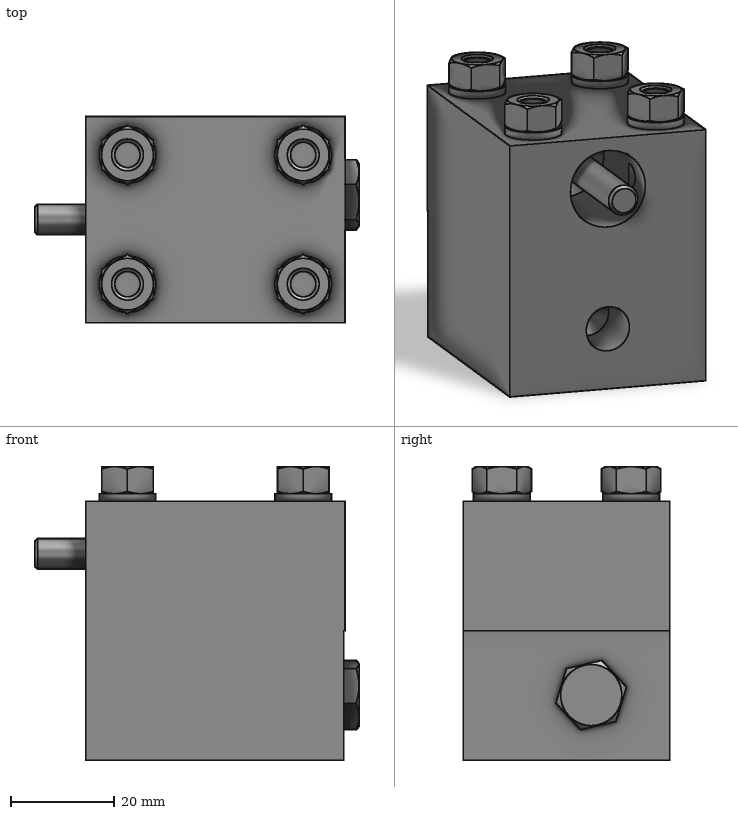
import cadquery as cq
import math

block_length = 50.2
block_width = 40.0
half_height = 25.1
block_height = 2 * half_height
lower_setback = 0.25

stud_spacing_x = 34.0
stud_spacing_y = 25.0
stud_diameter = 10.5
washer_diameter = 11.0
washer_height = 1.45
nut_across_flats = 10.0
nut_height = 5.2
countersink_diameter = 6.15
countersink_depth = 0.3
thread_core_diameter = 4.9
stud_end_recess = 0.2

bore_height = 40.0
bore_diameter = 15.3
bore_depth = 25.15
pin_diameter = 6.0
pin_reach = 9.85
pin_chamfer = 0.55

port_height = 12.0
port_diameter = 8.8
port_depth = 12.6

drill_point_angle = 118.0

plug_across_flats = 12.1
plug_reach = 2.75
plug_y = 4.8
plug_height = 12.65
plug_rotation = 13.0
plug_face_diameter = 11.8

hex_chamfer_angle = 30.0


def drill_point_length(diameter):
    """Length of the conical floor left by a drill."""
    return diameter / 2 / math.tan(math.radians(drill_point_angle / 2))


def chamfer_envelope(face_diameter, height, both_ends):
    """Turned solid, with conical ends, that rounds off the corners of a hexagon prism."""
    spread = face_diameter / 4
    drop = spread * math.tan(math.radians(hex_chamfer_angle))
    face_radius = face_diameter / 2
    outer_radius = face_radius + spread
    profile = cq.Workplane("XZ").moveTo(0, 0)
    if both_ends:
        profile = profile.lineTo(face_radius, 0).lineTo(outer_radius, drop)
    else:
        profile = profile.lineTo(outer_radius, 0)
    profile = profile.lineTo(outer_radius, height - drop).lineTo(face_radius, height).lineTo(0, height)
    return profile.close().revolve(360, (0, 0, 0), (0, 1, 0))


def hexagon(across_flats, height, face_diameter, both_ends):
    """Hexagon prism along Z with a corner on the Y axis and chamfered corners."""
    across_corners = across_flats / math.cos(math.radians(30))
    prism = cq.Workplane("XY").polygon(6, across_corners).extrude(height)
    prism = prism.rotate((0, 0, 0), (0, 0, 1), 90)
    return prism.intersect(chamfer_envelope(face_diameter, height, both_ends))


def make_block():
    """Two stacked halves, flush on every side except +X."""
    lower = cq.Workplane("XY").box(
        block_length - lower_setback, block_width, half_height, centered=(False, True, False)
    )
    upper = cq.Workplane("XY").box(block_length, block_width, half_height, centered=(False, True, False))
    return lower.union(upper.translate((0, 0, half_height)))


def make_stud():
    """Thick stud shank through the upper half; it bulges into the wall of the bore."""
    return cq.Workplane("XY").circle(stud_diameter / 2).extrude(half_height)


def make_nut():
    """Washer and nut, with the stud end lying just below the countersink of the nut."""
    washer = cq.Workplane("XY").circle(washer_diameter / 2).extrude(washer_height)
    nut = hexagon(nut_across_flats, nut_height, nut_across_flats, True)
    countersink = cq.Solid.makeCone(thread_core_diameter / 2, countersink_diameter / 2, countersink_depth)
    nut = nut.cut(cq.Workplane(countersink).translate((0, 0, nut_height - countersink_depth)))
    recess = cq.Workplane("XY").circle(thread_core_diameter / 2).extrude(-stud_end_recess)
    nut = nut.cut(recess.translate((0, 0, nut_height - countersink_depth)))
    return washer.union(nut.translate((0, 0, washer_height)))


def make_drilling(diameter, depth, height):
    """Blind drilling along X from the X = 0 face, with a conical floor."""
    point = drill_point_length(diameter)
    profile = (
        cq.Workplane("XY")
        .polyline([(0, 0), (depth + point, 0), (depth, diameter / 2), (0, diameter / 2)])
        .close()
    )
    return profile.revolve(360, (0, 0, 0), (1, 0, 0)).translate((0, 0, height))


def make_pin():
    """Chamfered pin that runs from outside the block into the floor of the bore."""
    overlap = drill_point_length(bore_diameter)
    pin = cq.Workplane("YZ").circle(pin_diameter / 2).extrude(pin_reach + bore_depth + overlap)
    return pin.faces("<X").chamfer(pin_chamfer).translate((-pin_reach, 0, bore_height))


def make_plug():
    """Turned hexagon head standing on the +X face of the lower half."""
    plug_length = plug_reach + lower_setback
    plug = hexagon(plug_across_flats, plug_length, plug_face_diameter, False)
    plug = plug.rotate((0, 0, 0), (0, 1, 0), 90)
    plug = plug.rotate((0, 0, 0), (1, 0, 0), plug_rotation)
    return plug.translate((block_length - lower_setback, plug_y, plug_height))


result = make_block()
result = result.cut(make_drilling(bore_diameter, bore_depth, bore_height))
result = result.cut(make_drilling(port_diameter, port_depth, port_height))
result = result.union(make_pin())

stud = make_stud()
nut = make_nut()
for x_side in (-1, 1):
    for y_side in (-1, 1):
        x = block_length / 2 + x_side * stud_spacing_x / 2
        y = y_side * stud_spacing_y / 2
        result = result.union(stud.translate((x, y, half_height)))
        result = result.union(nut.translate((x, y, block_height)))

result = result.union(make_plug())